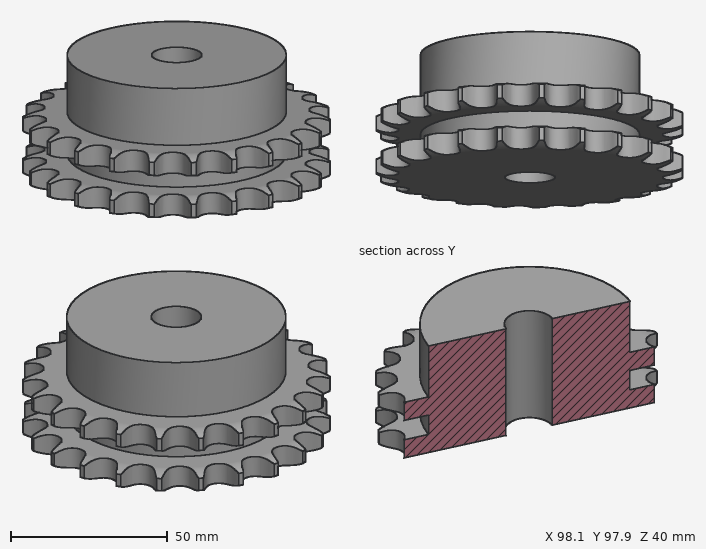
import cadquery as cq
import math


overall_height = 40.0
hub_diameter = 70.0
bore_diameter = 16.0

tooth_count = 23
plate_thickness = 7.0
plate_spacing = 14.0
pitch_radius = 93.3 / 2

overall_width = 98.1
tip_half_angle = 0.9
widest_corner_angle = 90 / tooth_count - tip_half_angle
tip_radius = overall_width / 2 / math.cos(math.radians(widest_corner_angle))

side_round_radius = 12.75
side_round_start = 43.4

roller_diameter = 8.5
seat_radius = 4.3
seat_factor = 0.8
working_factor = 1.3
topping_factor = 1.4
seat_half_angle = 55 - 60 / tooth_count
working_angle = 18 - 56 / tooth_count
topping_angle = 17 - 64 / tooth_count
working_radius = working_factor * roller_diameter
seat_reach = seat_factor * roller_diameter
topping_reach = topping_factor * roller_diameter
topping_radius = (
    seat_reach * math.cos(math.radians(working_angle))
    + topping_reach * math.cos(math.radians(topping_angle))
    - working_radius
)
straight_length = (
    topping_reach * math.sin(math.radians(topping_angle))
    - seat_reach * math.sin(math.radians(working_angle))
)
tip_arc_angle = 20


def step(start, distance, heading):
    """Point at a distance from start along a heading in degrees."""
    angle = math.radians(heading)
    return (start[0] + distance * math.cos(angle), start[1] + distance * math.sin(angle))


def arc_end(start, radius, heading, turn):
    """End point of an arc that leaves start at a heading and turns by an angle (degrees, left positive)."""
    chord = 2 * radius * math.sin(math.radians(abs(turn)) / 2)
    return step(start, chord, heading + turn / 2)


def mirrored(point):
    return (-point[0], point[1])


def tooth_gap():
    """Cutter for the gap centred on +Y, symmetric about the Y axis."""
    root = (0, pitch_radius - seat_radius)
    seat_end = arc_end(root, seat_radius, 0, seat_half_angle)

    working_mid = arc_end(seat_end, working_radius, seat_half_angle, working_angle / 2)
    working_end = arc_end(seat_end, working_radius, seat_half_angle, working_angle)

    flank_heading = seat_half_angle + working_angle
    flank_end = step(working_end, straight_length, flank_heading)

    tip_mid = arc_end(flank_end, topping_radius, flank_heading, -tip_arc_angle / 2)
    tip_end = arc_end(flank_end, topping_radius, flank_heading, -tip_arc_angle)

    return (
        cq.Workplane("XY")
        .moveTo(*mirrored(seat_end))
        .threePointArc(root, seat_end)
        .threePointArc(working_mid, working_end)
        .lineTo(*flank_end)
        .threePointArc(tip_mid, tip_end)
        .lineTo(*mirrored(tip_end))
        .threePointArc(mirrored(tip_mid), mirrored(flank_end))
        .lineTo(*mirrored(working_end))
        .threePointArc(mirrored(working_mid), mirrored(seat_end))
        .close()
        .extrude(plate_thickness)
    )


def side_round_depth(radius):
    """How far the rounded tooth side lies below the plate face at a given radius."""
    return side_round_radius - math.sqrt(side_round_radius**2 - (radius - side_round_start) ** 2)


def plate_blank():
    """Disc with both faces rounded off towards the rim."""
    mid_radius = (side_round_start + tip_radius) / 2
    mid_depth = side_round_depth(mid_radius)
    tip_depth = side_round_depth(tip_radius)
    return (
        cq.Workplane("XZ")
        .lineTo(side_round_start, 0)
        .threePointArc((mid_radius, mid_depth), (tip_radius, tip_depth))
        .lineTo(tip_radius, plate_thickness - tip_depth)
        .threePointArc((mid_radius, plate_thickness - mid_depth), (side_round_start, plate_thickness))
        .lineTo(0, plate_thickness)
        .close()
        .revolve(360, (0, 0, 0), (0, 1, 0))
    )


def toothed_plate():
    plate = plate_blank()
    gap = tooth_gap()
    for index in range(tooth_count):
        plate = plate.cut(gap.rotate((0, 0, 0), (0, 0, 1), index * 360 / tooth_count))
    return plate


plate = toothed_plate()
hub = cq.Workplane("XY").circle(hub_diameter / 2).extrude(overall_height)
bore = cq.Workplane("XY").circle(bore_diameter / 2).extrude(overall_height)

result = hub.union(plate).union(plate.translate((0, 0, plate_spacing))).cut(bore)